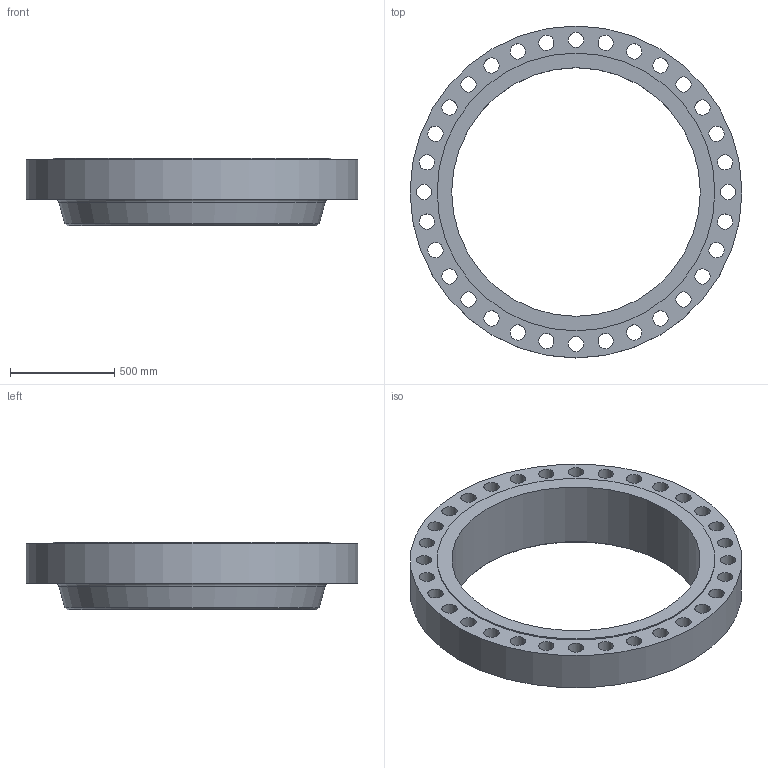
import cadquery as cq
import math

flange_diameter = 1593.85
overall_height = 322.26
bore_diameter = 1193.8
raised_face_diameter = 1333.5
raised_face_height = 6.35
ring_thickness = 189.0

bolt_count = 32
bolt_circle_diameter = 1460.5
bolt_hole_diameter = 73.5

neck_base_diameter = 1286.0
weld_end_diameter = 1222.0
neck_fillet_radius = 19.0
weld_bevel_angle = 37.5
weld_land_width = 1.6

bore_radius = bore_diameter / 2
weld_end_radius = weld_end_diameter / 2
weld_land_radius = bore_radius + weld_land_width
bevel_height = (weld_end_radius - weld_land_radius) * math.tan(math.radians(weld_bevel_angle))
flange_top = overall_height - raised_face_height
flange_bottom = flange_top - ring_thickness


def flange_body():
    """Revolve the half section of ring, raised face and neck about Z, with a blended neck root."""
    neck_base_radius = neck_base_diameter / 2
    taper = math.atan2(neck_base_radius - weld_end_radius, flange_bottom - bevel_height)

    turn_angle = math.pi / 2 - taper
    tangent_length = neck_fillet_radius * math.tan(turn_angle / 2)
    arc_start = (
        neck_base_radius - tangent_length * math.sin(taper),
        flange_bottom - tangent_length * math.cos(taper),
    )
    arc_end = (neck_base_radius + tangent_length, flange_bottom)

    section = (
        cq.Workplane("XZ")
        .moveTo(bore_radius, 0)
        .lineTo(weld_land_radius, 0)
        .lineTo(weld_end_radius, bevel_height)
        .lineTo(*arc_start)
        .tangentArcPoint(arc_end, relative=False)
        .lineTo(flange_diameter / 2, flange_bottom)
        .lineTo(flange_diameter / 2, flange_top)
        .lineTo(raised_face_diameter / 2, flange_top)
        .lineTo(raised_face_diameter / 2, overall_height)
        .lineTo(bore_radius, overall_height)
        .close()
    )
    return section.revolve(360, (0, 0, 0), (0, 1, 0))


def bolt_holes():
    """Through holes evenly spaced on the bolt circle."""
    return (
        cq.Workplane("XY")
        .polarArray(bolt_circle_diameter / 2, 0, 360, bolt_count)
        .circle(bolt_hole_diameter / 2)
        .extrude(overall_height)
    )


result = flange_body().cut(bolt_holes())